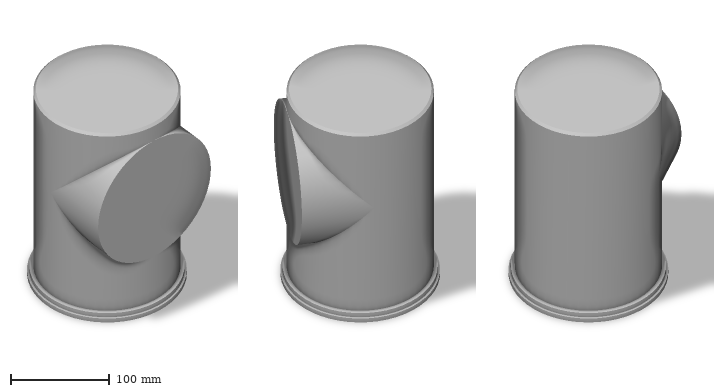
import cadquery as cq

total_height = 238.8
body_diameter = 150.0
flange_diameter = 162.5
step_diameter = 158.0
flange_height = 5.0
step_height = 5.3
top_chamfer = 2.6
branch_axis_height = 142.3

body_radius = body_diameter / 2
branch_length = body_radius


def upright_cylinder(diameter, height):
    """Cylinder about Z standing on the base plane."""
    return cq.Workplane("XY").circle(diameter / 2).extrude(height)


body = upright_cylinder(body_diameter, total_height).faces(">Z").chamfer(top_chamfer)

flange = upright_cylinder(flange_diameter, flange_height)
step = upright_cylinder(step_diameter, flange_height + step_height)

branch = (
    cq.Workplane("YZ")
    .center(0, branch_axis_height)
    .circle(body_radius)
    .extrude(branch_length)
)

result = body.union(flange).union(step).union(branch)